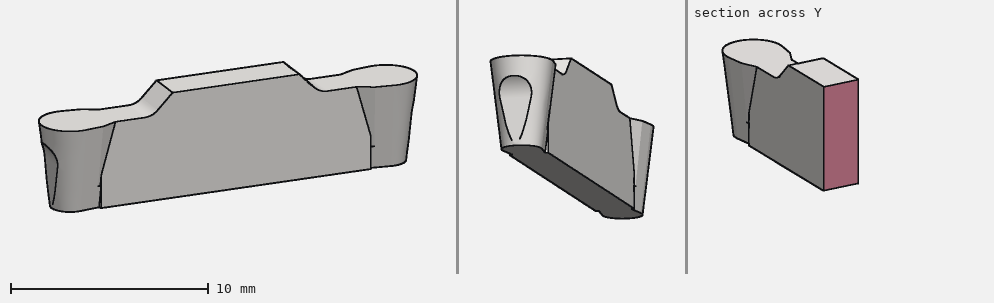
import cadquery as cq
import math

overall_length = 20.6
overall_height = 5.65
shoulder_height = 4.53

web_half_width = 1.025
web_end_y = 7.44
web_end_slant = 0.14
web_end_inner_half_width = 0.6
block_half_length = 3.5
block_side_angle = 45
block_foot_radius = 1.0

nose_radius = 1.585
clearance_angle = 7
flank_angle = 8
flank_end_y = 7.5
neck_end_y = 6.65
neck_bottom = 1.2
neck_overlap = 0.6
nose_center_y = overall_length / 2 - nose_radius

relief_y = 9.76
relief_flat_height = 2.48
relief_radius = 1.5

flank = math.radians(flank_angle)
tangent_x = nose_radius * math.cos(flank)
tangent_y = nose_center_y - nose_radius * math.sin(flank)


def flank_x(y):
    """Half width of the head's top outline on the straight flank at y."""
    return tangent_x - (tangent_y - y) * math.tan(flank)


def make_web():
    rise = overall_height - shoulder_height
    foot_y = block_half_length + rise / math.tan(math.radians(block_side_angle))
    side = (
        cq.Workplane("YZ")
        .moveTo(-web_end_y, 0)
        .lineTo(web_end_y, 0)
        .lineTo(web_end_y, shoulder_height)
        .lineTo(foot_y, shoulder_height)
        .lineTo(block_half_length, overall_height)
        .lineTo(-block_half_length, overall_height)
        .lineTo(-foot_y, shoulder_height)
        .lineTo(-web_end_y, shoulder_height)
        .close()
        .extrude(web_half_width, both=True)
    )
    for sign in (-1, 1):
        foot = cq.selectors.NearestToPointSelector((0, sign * foot_y, shoulder_height))
        side = side.edges("|X").edges(foot).fillet(block_foot_radius)
    return side


def make_web_tip():
    """Slanted wall that closes the +Y end of the web."""
    return (
        cq.Workplane("XY")
        .moveTo(-web_half_width, web_end_y)
        .lineTo(-web_end_inner_half_width, web_end_y + web_end_slant)
        .lineTo(web_end_inner_half_width, web_end_y + web_end_slant)
        .lineTo(web_half_width, web_end_y)
        .close()
        .extrude(shoulder_height)
    )


def drafted_head(back_points):
    """Round nose with straight sides through back_points, drafted downwards."""
    outline = (
        cq.Workplane("XY")
        .workplane(offset=shoulder_height)
        .moveTo(-tangent_x, tangent_y)
        .threePointArc((0, overall_length / 2), (tangent_x, tangent_y))
    )
    for x, y in back_points:
        outline = outline.lineTo(x, y)
    for x, y in reversed(back_points):
        outline = outline.lineTo(-x, y)
    return outline.close().extrude(-shoulder_height, taper=clearance_angle)


def make_relief():
    """Cutter with a flat front wall that sweeps outward in an arc above."""
    outer_y = relief_y + relief_radius
    return (
        cq.Workplane("YZ")
        .moveTo(relief_y, 0)
        .lineTo(relief_y, relief_flat_height)
        .radiusArc((outer_y, relief_flat_height + relief_radius), relief_radius)
        .lineTo(outer_y, 0)
        .close()
        .extrude(nose_radius, both=True)
    )


def make_head():
    neck_slope = (flank_x(flank_end_y) - web_half_width) / (flank_end_y - neck_end_y)
    buried_y = neck_end_y - neck_overlap
    buried_x = web_half_width - neck_slope * (neck_end_y - buried_y)
    necked = drafted_head([(flank_x(flank_end_y), flank_end_y), (buried_x, buried_y)])
    straight = drafted_head([(flank_x(neck_end_y), neck_end_y)])
    lower = cq.Workplane("XY").box(
        2 * nose_radius, overall_length, neck_bottom, centered=(True, True, False)
    )
    head = necked.union(straight.intersect(lower)).union(make_web_tip())
    return head.cut(make_relief())


head = make_head()
result = make_web().union(head).union(head.mirror("XZ"))